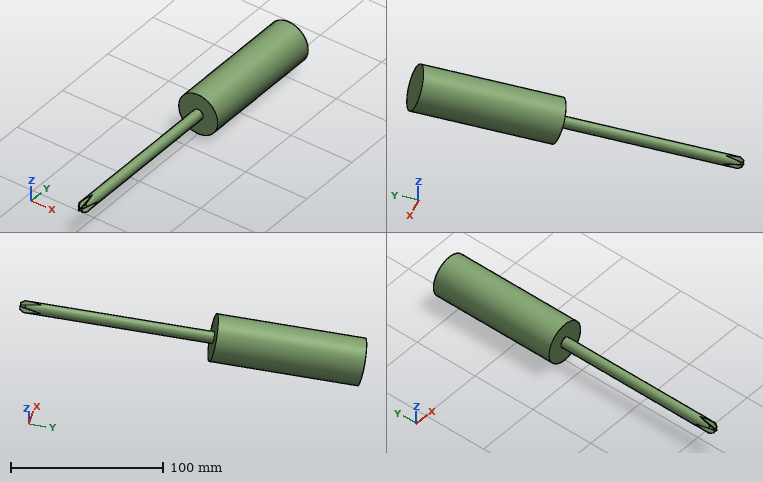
import cadquery as cq
import math

total_length = 230.0
handle_length = 100.0
handle_diameter = 32.0
shaft_diameter = 8.0

tip_bevel_length = 2.8
tip_end_diameter = 4.5
flute_count = 4
flute_length = 13.0
flute_core_radius = 0.7
flute_angle = 92.0

tip_y = -total_length / 2
handle_front_y = total_length / 2 - handle_length
shaft_radius = shaft_diameter / 2


def make_body():
    """Revolve the handle, shaft and bevelled tip around the Y axis."""
    profile = (
        cq.Workplane("XY")
        .moveTo(0, tip_y)
        .lineTo(tip_end_diameter / 2, tip_y)
        .lineTo(shaft_radius, tip_y + tip_bevel_length)
        .lineTo(shaft_radius, handle_front_y)
        .lineTo(handle_diameter / 2, handle_front_y)
        .lineTo(handle_diameter / 2, total_length / 2)
        .lineTo(0, total_length / 2)
        .close()
    )
    return profile.revolve(360, (0, 0, 0), (0, 1, 0))


def make_flute():
    """Make a V-shaped cutter above the axis, its floor rising away from the tip."""
    floor_slope = (shaft_radius - flute_core_radius) / flute_length
    end_clearance = 1.2
    cutter_height = shaft_diameter
    half_width = cutter_height * math.tan(math.radians(flute_angle / 2))
    cutter_length = flute_length + 2 * end_clearance
    start_floor = flute_core_radius - floor_slope * end_clearance
    start = cq.Vector(0, tip_y - end_clearance, start_floor)
    run = cq.Vector(0, cutter_length, floor_slope * cutter_length)
    section_plane = cq.Plane(origin=start, xDir=(-1, 0, 0), normal=(0, 1, 0))
    section = cq.Workplane(section_plane).polyline(
        [(0, 0), (half_width, cutter_height), (-half_width, cutter_height)]
    ).close()
    path = cq.Workplane("YZ").moveTo(start.y, start.z).line(run.y, run.z)
    return section.sweep(path)


result = make_body()
flute = make_flute()
for index in range(flute_count):
    result = result.cut(flute.rotate((0, 0, 0), (0, 1, 0), index * 360 / flute_count))